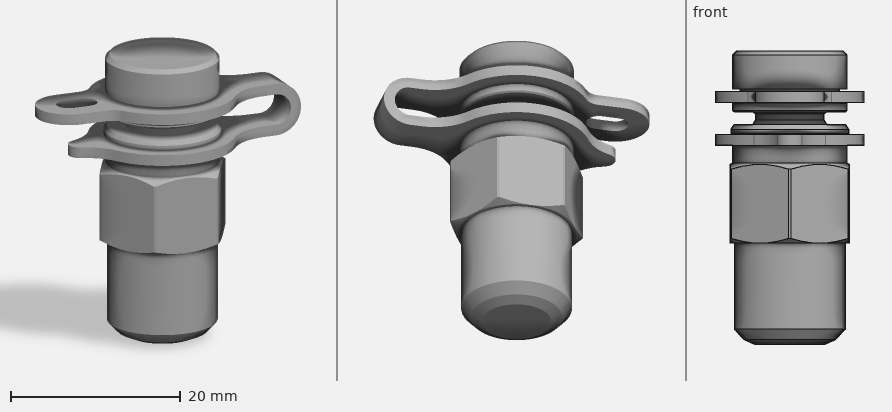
import cadquery as cq
import math

height = 34.6

tip_cone_top = 0.6
shank_cone_top = 1.85
hex_bottom = 11.95
hex_top = 21.4
lower_groove_bottom = 23.45
collar_bottom = 24.85
collar_chamfer_bottom = 25.35
collar_top = 25.9
neck_bottom = 26.47
neck_top = 27.15
flange_bottom = 27.4
flange_chamfer_height = 0.17
upper_groove_bottom = 28.45
head_bottom = 30.1

tip_radius = 4.1
tip_cone_radius = 5.4
shank_radius = 6.55
head_radius = 6.75
head_chamfer = 0.5
groove_radius = 5.85
collar_radius = 6.95
collar_top_radius = 6.57
neck_radius = 4.0
neck_flare_radius = 4.4
flange_chamfer_width = 0.2

hex_across_flats = 14.05
hex_corner_radius = 8.03
hex_top_chamfer_height = 0.73
hex_bottom_chamfer_height = 0.55
hex_top_chamfer_radius = head_radius
hex_bottom_chamfer_radius = hex_across_flats / 2

strap_thickness = 1.3
strap_bottom = lower_groove_bottom
upper_ring_bottom = 28.5
ring_radius = 8.75
band_half_width = 2.5
band_fillet = 6.0
loop_outer_radius = (upper_ring_bottom + strap_thickness - strap_bottom) / 2
loop_inner_radius = loop_outer_radius - strap_thickness
loop_reach = 16.75
loop_center_y = loop_reach - loop_outer_radius
pull_tab_radius = 4.0
pull_tab_end_y = -12.0
pull_tab_fillet = 2.0
slot_radius = 1.52
slot_start_y = -10.0
tongue_radius = 1.52
tongue_reach = 12.0


def fitting_profile():
    """Half section of the turned shape, without the hexagon."""
    return (
        cq.Workplane("XZ")
        .moveTo(0, 0)
        .lineTo(tip_radius, 0)
        .lineTo(tip_cone_radius, tip_cone_top)
        .lineTo(shank_radius, shank_cone_top)
        .lineTo(shank_radius, hex_top)
        .lineTo(head_radius, hex_top)
        .lineTo(head_radius, lower_groove_bottom)
        .lineTo(groove_radius, lower_groove_bottom)
        .lineTo(groove_radius, collar_bottom)
        .lineTo(collar_radius, collar_bottom)
        .lineTo(collar_radius, collar_chamfer_bottom)
        .lineTo(collar_top_radius, collar_top)
        .lineTo(neck_flare_radius, collar_top)
        .lineTo(neck_radius, neck_bottom)
        .lineTo(neck_radius, neck_top)
        .lineTo(neck_flare_radius, flange_bottom)
        .lineTo(head_radius - flange_chamfer_width, flange_bottom)
        .lineTo(head_radius, flange_bottom + flange_chamfer_height)
        .lineTo(head_radius, upper_groove_bottom)
        .lineTo(groove_radius, upper_groove_bottom)
        .lineTo(groove_radius, head_bottom)
        .lineTo(head_radius, head_bottom)
        .lineTo(head_radius, height - head_chamfer)
        .lineTo(head_radius - head_chamfer, height)
        .lineTo(0, height)
        .close()
    )


def make_hexagon():
    """Hexagonal prism with its corners turned round and chamfered."""
    prism = (
        cq.Workplane("XY")
        .workplane(offset=hex_bottom)
        .polygon(6, hex_across_flats, circumscribed=True)
        .extrude(hex_top - hex_bottom)
    )
    envelope = (
        cq.Workplane("XZ")
        .moveTo(0, hex_bottom)
        .lineTo(hex_bottom_chamfer_radius, hex_bottom)
        .lineTo(hex_corner_radius, hex_bottom + hex_bottom_chamfer_height)
        .lineTo(hex_corner_radius, hex_top - hex_top_chamfer_height)
        .lineTo(hex_top_chamfer_radius, hex_top)
        .lineTo(0, hex_top)
        .close()
        .revolve(360, (0, 0, 0), (0, 1, 0))
    )
    return prism.intersect(envelope)


def make_fitting():
    turned = fitting_profile().revolve(360, (0, 0, 0), (0, 1, 0))
    return turned.union(make_hexagon())


def ring_contact(center, fillet):
    """Point where a fillet circle around center touches the strap ring."""
    ratio = ring_radius / (ring_radius + fillet)
    return (center[0] * ratio, center[1] * ratio)


def arc_middle(center, radius, start, end):
    """Middle of the short arc around center from start to end."""
    chord_x = (start[0] + end[0]) / 2 - center[0]
    chord_y = (start[1] + end[1]) / 2 - center[1]
    ratio = radius / math.hypot(chord_x, chord_y)
    return (center[0] + chord_x * ratio, center[1] + chord_y * ratio)


def mirrored(point):
    return (-point[0], point[1])


def straight_tab_fillet(half_width, fillet, side):
    """Center of the fillet between the ring and a straight tab; side is the sign of Y."""
    x = half_width + fillet
    return (x, side * math.sqrt((ring_radius + fillet) ** 2 - x**2))


def tab_start(plane, center, fillet, tab_point):
    """Right-hand fillet of a tab, from the ring outward to tab_point."""
    ring_point = ring_contact(center, fillet)
    middle = arc_middle(center, fillet, ring_point, tab_point)
    return plane.moveTo(*ring_point).threePointArc(middle, tab_point)


def tab_finish(outline, center, fillet, tab_point):
    """Left-hand fillet back to the ring, closed across the ring and extruded."""
    ring_point = ring_contact(center, fillet)
    middle = arc_middle(center, fillet, ring_point, tab_point)
    outline = outline.threePointArc(mirrored(middle), mirrored(ring_point))
    return outline.close().extrude(strap_thickness)


def make_band(plane):
    """Straight band from the ring to the loop."""
    center = straight_tab_fillet(band_half_width, band_fillet, 1)
    tab_point = (band_half_width, center[1])
    outline = (
        tab_start(plane, center, band_fillet, tab_point)
        .lineTo(band_half_width, loop_center_y)
        .lineTo(-band_half_width, loop_center_y)
        .lineTo(*mirrored(tab_point))
    )
    return tab_finish(outline, center, band_fillet, tab_point)


def make_pull_tab(plane):
    """Round-ended tab of the upper ring, before its slot is cut."""
    center = straight_tab_fillet(pull_tab_radius, pull_tab_fillet, -1)
    tab_point = (pull_tab_radius, center[1])
    outline = (
        tab_start(plane, center, pull_tab_fillet, tab_point)
        .lineTo(pull_tab_radius, pull_tab_end_y)
        .threePointArc((0, pull_tab_end_y - pull_tab_radius), (-pull_tab_radius, pull_tab_end_y))
        .lineTo(*mirrored(tab_point))
    )
    return tab_finish(outline, center, pull_tab_fillet, tab_point)


def make_tongue(plane):
    """Tongue of the lower ring: fillets that run straight into a round tip."""
    tip_center_y = tongue_reach - tongue_radius
    from_ring = ring_radius + band_fillet
    from_tip = tongue_radius + band_fillet
    center_y = (from_ring**2 - from_tip**2 + tip_center_y**2) / (2 * tip_center_y)
    center = (math.sqrt(from_ring**2 - center_y**2), -center_y)
    ratio = tongue_radius / from_tip
    tab_point = (center[0] * ratio, -tip_center_y + (center[1] + tip_center_y) * ratio)
    outline = tab_start(plane, center, band_fillet, tab_point).threePointArc(
        (0, -tongue_reach), mirrored(tab_point)
    )
    return tab_finish(outline, center, band_fillet, tab_point)


def make_ring(bottom, make_tab):
    """Flat ring with the loop band on +Y and the given tab on -Y."""
    plane = cq.Workplane("XY").workplane(offset=bottom)
    ring = plane.circle(ring_radius).extrude(strap_thickness)
    hole = plane.circle(groove_radius).extrude(strap_thickness)
    return ring.union(make_band(plane)).union(make_tab(plane)).cut(hole)


def make_slot():
    return (
        cq.Workplane("XY")
        .workplane(offset=upper_ring_bottom)
        .center(0, (slot_start_y + pull_tab_end_y) / 2)
        .slot2D(slot_start_y - pull_tab_end_y + 2 * slot_radius, 2 * slot_radius, 90)
        .extrude(strap_thickness)
    )


def make_loop():
    """Half-round bend that joins the bands of both rings."""
    middle_z = strap_bottom + loop_outer_radius
    return (
        cq.Workplane("YZ")
        .workplane(offset=-band_half_width)
        .moveTo(loop_center_y, middle_z - loop_outer_radius)
        .threePointArc((loop_reach, middle_z), (loop_center_y, middle_z + loop_outer_radius))
        .lineTo(loop_center_y, middle_z + loop_inner_radius)
        .threePointArc(
            (loop_center_y + loop_inner_radius, middle_z),
            (loop_center_y, middle_z - loop_inner_radius),
        )
        .close()
        .extrude(2 * band_half_width)
    )


def make_strap():
    upper_ring = make_ring(upper_ring_bottom, make_pull_tab).cut(make_slot())
    lower_ring = make_ring(strap_bottom, make_tongue)
    return upper_ring.union(make_loop()).union(lower_ring)


fitting = make_fitting()
strap = make_strap()

result = cq.Compound.makeCompound([fitting.val(), strap.val()])